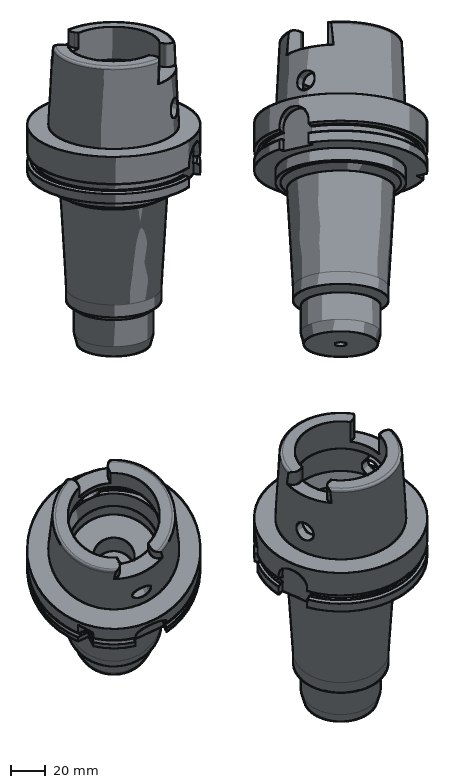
import cadquery as cq
import math


shank_length = 50.0
total_length = 185.8
nose_z = shank_length - total_length

shank_base_radius = 37.8
shank_taper = 1 / 20
shank_top_radius = shank_base_radius - shank_taper * shank_length
shank_edge_fillet = 1.8

flange_radius = 50.0
flange_length = 29.0
groove_floor_radius = 46.0
groove_centre_z = -20.0
groove_mouth_width = 6.3
groove_floor_width = 4.2
groove_flank_depth = 2.0

collar_radius = 37.7
collar_end_z = -36.5
shoulder_radius = 34.8
cone_start_z = -40.5
cone_start_radius = 31.1
cone_end_z = -101.2
sleeve_radius = 27.6
sleeve_end_z = -108.9
nose_start_z = -112.4
nose_radius = 23.1
nose_taper_z = -129.0
nose_end_radius = 21.4

mouth_radius = 26.5
mouth_depth = 20.4
cavity_radius = 31.0
cavity_end_z = 9.0
cavity_cone_angle = math.radians(30)
cavity_cone_length = (cavity_radius - mouth_radius) / math.tan(cavity_cone_angle)
cavity_floor_z = -11.5

tube_bore_radius = 12.0
tube_bore_depth = 20.0
seat_radius = 6.0
seat_depth = 30.0
passage_radius = 3.3

cross_hole_radius = 6.0
cross_hole_z = 15.0

drive_slot_width = 20.0
drive_land_half_length = 32.2
drive_corner_radius = 5.0
near_slot_depth = 9.6
far_slot_depth = 14.7

key_slot_width = 20.0
key_floor_distance = 45.0
slot_top_z = -5.0

notch_width = 16.0
notch_corner = 45.0 * math.sin(math.pi / 4)


def revolve_about_axis(outline):
    return outline.close().revolve(360, (0, 0, 0), (0, 1, 0))


def make_shank():
    outline = (
        cq.Workplane("XZ")
        .lineTo(shank_base_radius, 0)
        .lineTo(shank_top_radius, shank_length)
        .lineTo(0, shank_length)
    )
    return revolve_about_axis(outline).faces(">Z").edges().fillet(shank_edge_fillet)


def make_body():
    half_mouth = groove_mouth_width / 2
    half_floor = groove_floor_width / 2
    flank_radius = flange_radius - groove_flank_depth
    outline = (
        cq.Workplane("XZ")
        .lineTo(flange_radius, 0)
        .lineTo(flange_radius, groove_centre_z + half_mouth)
        .lineTo(flank_radius, groove_centre_z + half_floor)
        .lineTo(groove_floor_radius, groove_centre_z + half_floor)
        .lineTo(groove_floor_radius, groove_centre_z - half_floor)
        .lineTo(flank_radius, groove_centre_z - half_floor)
        .lineTo(flange_radius, groove_centre_z - half_mouth)
        .lineTo(flange_radius, -flange_length)
        .lineTo(collar_radius, -flange_length)
        .lineTo(collar_radius, collar_end_z)
        .lineTo(shoulder_radius, collar_end_z)
        .lineTo(cone_start_radius, cone_start_z)
        .lineTo(sleeve_radius, cone_end_z)
        .lineTo(sleeve_radius, sleeve_end_z)
        .lineTo(nose_radius, nose_start_z)
        .lineTo(nose_radius, nose_taper_z)
        .lineTo(nose_end_radius, nose_z)
        .lineTo(0, nose_z)
    )
    return revolve_about_axis(outline)


def make_cavity():
    mouth_end_z = shank_length - mouth_depth
    tube_bore_z = cavity_floor_z - tube_bore_depth
    seat_z = cavity_floor_z - seat_depth
    outline = (
        cq.Workplane("XZ")
        .moveTo(0, shank_length)
        .lineTo(mouth_radius, shank_length)
        .lineTo(mouth_radius, mouth_end_z)
        .lineTo(cavity_radius, mouth_end_z)
        .lineTo(cavity_radius, cavity_end_z)
        .lineTo(mouth_radius, cavity_end_z - cavity_cone_length)
        .lineTo(mouth_radius, cavity_floor_z)
        .lineTo(tube_bore_radius, cavity_floor_z)
        .lineTo(tube_bore_radius, tube_bore_z)
        .lineTo(seat_radius, tube_bore_z)
        .lineTo(seat_radius, seat_z)
        .lineTo(passage_radius, seat_z)
        .lineTo(passage_radius, nose_z)
        .lineTo(0, nose_z)
    )
    return revolve_about_axis(outline)


def make_cross_hole():
    return (
        cq.Workplane("YZ")
        .center(0, cross_hole_z)
        .circle(cross_hole_radius)
        .extrude(shank_base_radius, both=True)
    )


def make_drive_slot(side, depth):
    """Slot open to one side (+1 or -1 along X), flaring around rounded land corners."""
    half_width = drive_slot_width / 2
    flare_half_width = half_width + drive_corner_radius
    outer_x = side * flange_radius
    land_x = side * drive_land_half_length
    arc_start_x = side * (drive_land_half_length - drive_corner_radius)
    bulge = drive_corner_radius * math.sin(math.pi / 4)
    arc_mid_x = arc_start_x + side * bulge
    arc_mid_y = flare_half_width - bulge
    return (
        cq.Workplane("XY", origin=(0, 0, shank_length - depth))
        .moveTo(0, -half_width)
        .lineTo(arc_start_x, -half_width)
        .threePointArc((arc_mid_x, -arc_mid_y), (land_x, -flare_half_width))
        .lineTo(land_x, -flange_radius)
        .lineTo(outer_x, -flange_radius)
        .lineTo(outer_x, flange_radius)
        .lineTo(land_x, flange_radius)
        .lineTo(land_x, flare_half_width)
        .threePointArc((arc_mid_x, arc_mid_y), (arc_start_x, half_width))
        .lineTo(0, half_width)
        .close()
        .extrude(depth)
    )


def make_flange_slot(side, floor_distance, centre_y, width):
    """Round-topped slot cut along X into the rim, running out of the lower flange face."""
    radius = width / 2
    spring_z = slot_top_z - radius
    return (
        cq.Workplane("YZ", origin=(side * floor_distance, 0, 0))
        .moveTo(centre_y - radius, -flange_length)
        .lineTo(centre_y - radius, spring_z)
        .threePointArc((centre_y, slot_top_z), (centre_y + radius, spring_z))
        .lineTo(centre_y + radius, -flange_length)
        .close()
        .extrude(side * (flange_radius - floor_distance))
    )


result = make_body().union(make_shank()).cut(make_cavity()).cut(make_cross_hole())
for side, slot_depth in ((-1, near_slot_depth), (1, far_slot_depth)):
    result = result.cut(make_drive_slot(side, slot_depth))
    result = result.cut(make_flange_slot(side, key_floor_distance, 0, key_slot_width))
notch_centre_y = notch_corner + notch_width / 2
result = result.cut(make_flange_slot(-1, notch_corner, notch_centre_y, notch_width))